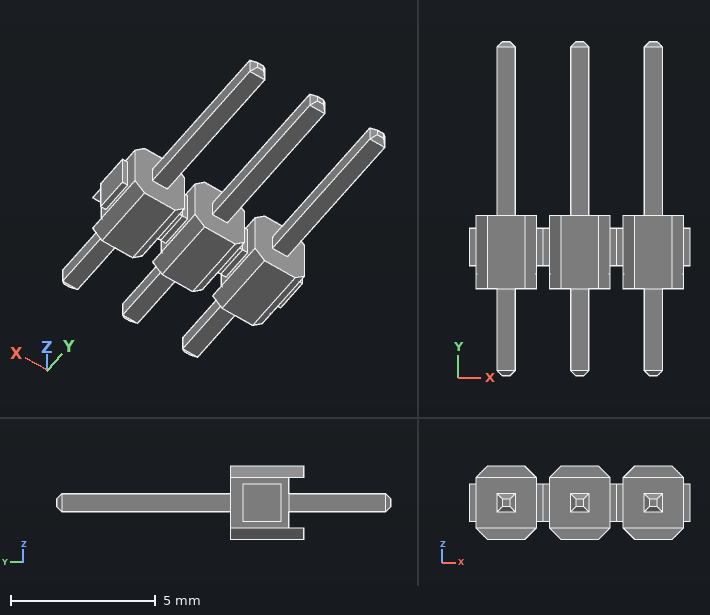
import cadquery as cq

unit_count = 3
pitch = 2.54

block_width = 2.1
block_height = pitch
block_length = pitch
block_chamfer = 0.4
recess_depth = 0.52

tab_size = 1.3
tab_back_margin = 0.44

pin_side = 0.63
pin_front_length = 3.0
pin_back_length = 6.0
tip_taper = 0.18

waist_height = block_height - 2 * block_chamfer
pin_length = pin_front_length + block_length + pin_back_length
pin_centre_y = pin_length / 2 - pin_front_length
tab_centre_y = block_length - tab_back_margin - tab_size / 2


def make_block():
    """Chamfered block with the front of its waist set back between two lips."""
    block = (
        cq.Workplane("XY")
        .box(block_width, block_length, block_height)
        .edges("|Y")
        .chamfer(block_chamfer)
        .translate((0, block_length / 2, 0))
    )
    recess = (
        cq.Workplane("XY")
        .box(block_width, recess_depth, waist_height)
        .translate((0, recess_depth / 2, 0))
    )
    return block.cut(recess)


def make_tabs():
    """Bar through the block whose ends stand out as a tab on each side."""
    return cq.Workplane("XY").box(pitch, tab_size, tab_size).translate((0, tab_centre_y, 0))


def make_pin():
    """Square pin running through the block, tapered on all four sides at both tips."""
    return (
        cq.Workplane("XY")
        .box(pin_side, pin_length, pin_side)
        .faces("<Y or >Y")
        .chamfer(tip_taper)
        .translate((0, pin_centre_y, 0))
    )


def make_header_unit(centre_x):
    """One solid unit: block, tabs and pin together."""
    unit = make_block().union(make_tabs()).union(make_pin())
    return unit.translate((centre_x, 0, 0))


header_units = []
for index in range(unit_count):
    centre_x = (index - (unit_count - 1) / 2) * pitch
    header_units.append(make_header_unit(centre_x).val())

result = cq.Compound.makeCompound(header_units)